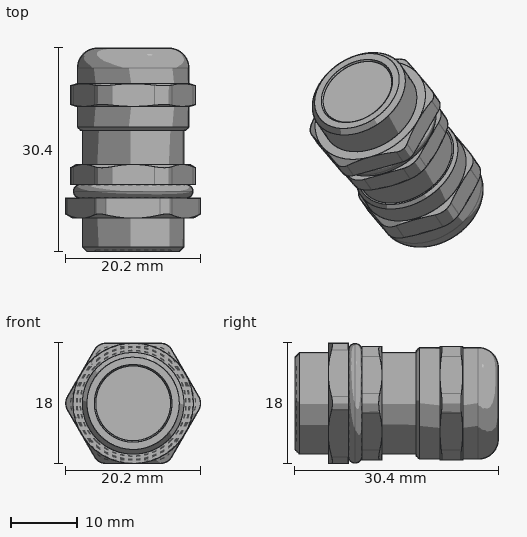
import cadquery as cq
import math


length = 30.4
locknut_start = 5.0
ring_start = 8.0
body_hex_start = 10.0
body_hex_end = 13.02
cap_start = 18.12
cap_hex_start = 21.65
cap_hex_end = 25.12

body_radius = 15.2 / 2
body_chamfer = 0.7
cap_radius = 16.7 / 2
cap_chamfer = 0.5
dome_radius = 3.0
recess_mouth_radius = 5.8
recess_floor_radius = 5.6
recess_depth = 0.2

ring_outer_radius = 8.95
ring_tube_radius = (body_hex_start - ring_start) / 2

locknut_across_flats = 18.0
locknut_corner_radius = 2.0
gland_across_flats = 17.0
gland_corner_radius = 3.0
rim_ratio = 1.2
bevel_slope = math.tan(math.radians(30))
cap_bevel_slope = math.tan(math.radians(18))


def disc(radius, start, end):
    """Cylinder about the Y axis between two stations."""
    return cq.Workplane("XZ", origin=(0, start, 0)).circle(radius).extrude(start - end)


def bevel_envelope(radius, start, end, start_slope, end_slope):
    """Cylinder with a bevel from its rim down to the given radius at each sloped end."""
    rim = radius * rim_ratio
    outline = [(0, start)]
    if start_slope:
        outline.append((radius, start))
    outline.append((rim, start + (rim - radius) * start_slope))
    outline.append((rim, end - (rim - radius) * end_slope))
    if end_slope:
        outline.append((radius, end))
    outline.append((0, end))
    return cq.Workplane("XY").polyline(outline).close().revolve(360, (0, 0, 0), (0, 1, 0))


def hexagon(across_flats, corner_radius, start, end, bevel_radius, start_slope=0.0, end_slope=0.0):
    """Rounded hexagon with corners on X, bevelled at the ends that have a slope."""
    across_corners = across_flats / math.cos(math.radians(30))
    prism = (
        cq.Workplane("XZ", origin=(0, start, 0))
        .polygon(6, across_corners)
        .extrude(start - end)
        .edges("|Y")
        .fillet(corner_radius)
    )
    return prism.intersect(bevel_envelope(bevel_radius, start, end, start_slope, end_slope))


def make_body():
    body = disc(body_radius, 0, cap_start).faces("<Y").edges().chamfer(body_chamfer)
    recess = (
        cq.Workplane("XY")
        .lineTo(recess_mouth_radius, 0)
        .lineTo(recess_floor_radius, recess_depth)
        .lineTo(0, recess_depth)
        .close()
        .revolve(360, (0, 0, 0), (0, 1, 0))
    )
    return body.cut(recess)


def make_cap():
    cap = disc(cap_radius, cap_start, length)
    cap = cap.faces("<Y").edges().chamfer(cap_chamfer)
    return cap.faces(">Y").edges().fillet(dome_radius)


def make_sealing_ring():
    tube_centre_radius = ring_outer_radius - ring_tube_radius
    return (
        cq.Workplane("XY")
        .center(tube_centre_radius, ring_start + ring_tube_radius)
        .circle(ring_tube_radius)
        .revolve(360, (-tube_centre_radius, 0), (-tube_centre_radius, 1))
    )


locknut = hexagon(
    locknut_across_flats,
    locknut_corner_radius,
    locknut_start,
    ring_start,
    bevel_radius=locknut_across_flats / 2,
    start_slope=bevel_slope,
)
body_hex = hexagon(
    gland_across_flats,
    gland_corner_radius,
    body_hex_start,
    body_hex_end,
    bevel_radius=gland_across_flats / 2,
    end_slope=bevel_slope,
)
cap_hex = hexagon(
    gland_across_flats,
    gland_corner_radius,
    cap_hex_start,
    cap_hex_end,
    bevel_radius=cap_radius,
    start_slope=cap_bevel_slope,
    end_slope=cap_bevel_slope,
)

result = make_body()
for piece in (make_cap(), make_sealing_ring(), locknut, body_hex, cap_hex):
    result = result.union(piece)